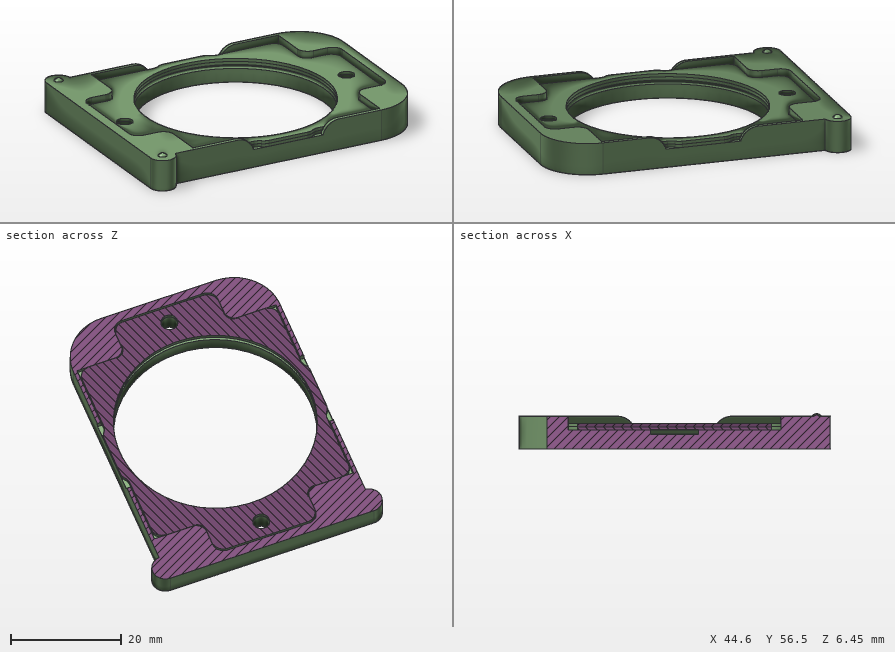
import cadquery as cq
import math

frame_length = 56.45
frame_width = 40.25
frame_height = 6.0
frame_centre_y = -0.03
back_corner_radius = 9.0
overall_width = 44.6
lobe_radius = 2.5

bump_radius = 0.85
bump_height = 0.45

pocket_floor = 3.5
plate_count = 2
plate_stack_height = 1.2
plate_thickness = plate_stack_height / plate_count

pocket_width = 38.65
shoulder_length = 38.5
ear_width = 19.85
pocket_length = 52.6
pocket_ear_radius = 2.0
pocket_shoulder_radius = 2.15
plate_ear_radius = 2.15
plate_shoulder_radius = 1.8
side_play = 0.1
end_play = 0.2
plate_width = pocket_width - 2 * side_play
plate_length = pocket_length - 2 * end_play

wing_root_length = 13.15
wing_tip_length = 8.0
plate_corner_radius = 2.0

notch_mouth_length = 20.9
notch_radius = 3.45

bore_diameter = 36.9
seat_diameter = 39.4
seat_floor = 2.7
screw_hole_diameter = 3.0
screw_hole_offset = 22.85

lobe_x = overall_width / 2 - lobe_radius
frame_front_y = frame_centre_y - frame_length / 2
lobe_y = frame_front_y + lobe_radius


def prism(size_x, size_y, bottom, height):
    """Upright rectangular block centred on the Z axis."""
    return cq.Workplane("XY").workplane(offset=bottom).rect(size_x, size_y).extrude(height)


def add_ears(body, tip_length, ear_radius, shoulder_radius, bottom, height):
    """Add a rounded ear at each Y end of a block and blend it into the shoulders."""
    ears = prism(ear_width, tip_length, bottom, height).edges("|Z").fillet(ear_radius)
    cross = body.union(ears)
    reach = shoulder_radius / 2
    for side in (-1, 1):
        for end in (-1, 1):
            x = side * ear_width / 2
            y = end * shoulder_length / 2
            inner_corner = cq.selectors.BoxSelector(
                (x - reach, y - reach, bottom),
                (x + reach, y + reach, bottom + height),
            )
            cross = cross.edges(inner_corner).edges("|Z").fillet(shoulder_radius)
    return cross


def round_openings(bottom, height):
    """Central bore and the two screw holes, as one cutting shape."""
    plane = cq.Workplane("XY").workplane(offset=bottom)
    bore = plane.circle(bore_diameter / 2).extrude(height)
    screw_holes = (
        plane.pushPoints([(0, -screw_hole_offset), (0, screw_hole_offset)])
        .circle(screw_hole_diameter / 2)
        .extrude(height)
    )
    return bore.union(screw_holes)


def frame_blank():
    """Slab with rounded back corners and a full-round bar with lobes along the front."""
    slab_length = frame_length - lobe_radius
    slab = (
        prism(frame_width, slab_length, 0, frame_height)
        .translate((0, lobe_y + slab_length / 2, 0))
        .edges("|Z and >Y")
        .fillet(back_corner_radius)
    )
    lobed_bar = (
        cq.Workplane("XY")
        .center(0, lobe_y)
        .slot2D(overall_width, 2 * lobe_radius)
        .extrude(frame_height)
    )
    return slab.union(lobed_bar)


def wall_notches():
    """Openings through both side walls down to the pocket floor, widening upwards along arcs."""
    mouth_y = notch_mouth_length / 2
    drop = frame_height - pocket_floor
    floor_y = mouth_y - math.sqrt(notch_radius**2 - (notch_radius - drop) ** 2)
    chord = math.hypot(mouth_y - floor_y, drop)
    sagitta = notch_radius - math.sqrt(notch_radius**2 - (chord / 2) ** 2)
    return (
        cq.Workplane("YZ")
        .moveTo(-floor_y, pocket_floor)
        .lineTo(floor_y, pocket_floor)
        .sagittaArc((mouth_y, frame_height), sagitta)
        .lineTo(-mouth_y, frame_height)
        .sagittaArc((-floor_y, pocket_floor), sagitta)
        .close()
        .extrude(frame_width / 2, both=True)
    )


def bump(x, y):
    """Spherical cap standing on the top face."""
    sphere_radius = (bump_radius**2 + bump_height**2) / (2 * bump_height)
    sphere_z = frame_height + bump_height - sphere_radius
    sphere = cq.Workplane("XY").sphere(sphere_radius).translate((x, y, sphere_z))
    cap_zone = prism(2 * sphere_radius, 2 * sphere_radius, frame_height, bump_height)
    return sphere.intersect(cap_zone.translate((x, y, 0)))


def make_frame():
    """Frame with the plate pocket, the wider seat below its floor, and the lobe bumps."""
    pocket_depth = frame_height - pocket_floor
    pocket_body = prism(pocket_width, shoulder_length, pocket_floor, pocket_depth)
    pocket = add_ears(
        pocket_body,
        pocket_length,
        pocket_ear_radius,
        pocket_shoulder_radius,
        pocket_floor,
        pocket_depth,
    )
    seat = cq.Workplane("XY").workplane(offset=seat_floor).circle(seat_diameter / 2)
    frame = (
        frame_blank()
        .cut(pocket)
        .cut(wall_notches())
        .cut(seat.extrude(pocket_floor - seat_floor))
        .cut(round_openings(0, frame_height))
    )
    for side in (-1, 1):
        frame = frame.union(bump(side * lobe_x, lobe_y))
    return frame


def plate_wing(bottom):
    """Half of the cross bar, on the +X side; its end narrows along an S-curve of two equal arcs."""
    root_x = plate_width / 2
    tip_x = frame_width / 2
    root_y = wing_root_length / 2
    tip_y = wing_tip_length / 2
    mid_x = (root_x + tip_x) / 2
    mid_y = (root_y + tip_y) / 2
    half_rise = mid_x - root_x
    half_run = root_y - mid_y
    arc_radius = (half_rise**2 + half_run**2) / (2 * half_rise)
    half_chord = math.hypot(half_rise, half_run) / 2
    sagitta = arc_radius - math.sqrt(arc_radius**2 - half_chord**2)
    return (
        cq.Workplane("XY")
        .workplane(offset=bottom)
        .moveTo(0, -root_y)
        .lineTo(root_x, -root_y)
        .sagittaArc((mid_x, -mid_y), sagitta)
        .sagittaArc((tip_x, -tip_y), -sagitta)
        .lineTo(tip_x, tip_y)
        .sagittaArc((mid_x, mid_y), -sagitta)
        .sagittaArc((root_x, root_y), sagitta)
        .lineTo(0, root_y)
        .close()
        .extrude(plate_thickness)
    )


def make_plate(bottom):
    """One plate with two ears, two side wings and the round openings."""
    body = prism(plate_width, shoulder_length, bottom, plate_thickness)
    body = body.edges("|Z").fillet(plate_corner_radius)
    plate = add_ears(body, plate_length, plate_ear_radius, plate_shoulder_radius, bottom, plate_thickness)
    wing = plate_wing(bottom)
    plate = plate.union(wing).union(wing.mirror("YZ"))
    return plate.cut(round_openings(bottom, plate_thickness))


frame = make_frame()
plates = [make_plate(pocket_floor + level * plate_thickness) for level in range(plate_count)]

result = cq.Compound.makeCompound([frame.val(), *[plate.val() for plate in plates]])